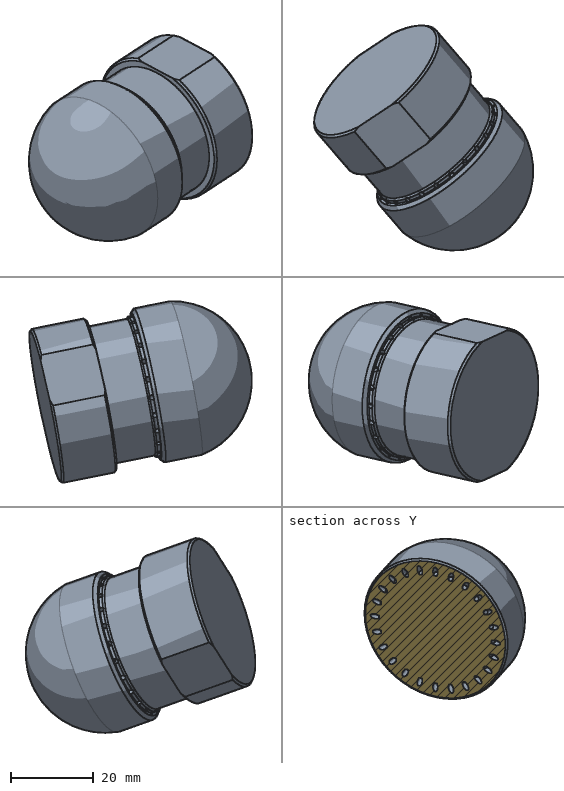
import cadquery as cq
import math

length = 50.8
body_diameter = 38.1
neck_diameter = 33.9
ring_diameter = 34.8
collar_length = 13.75
collar_chamfer = 0.5
collar_across_flats = 35.65
neck_length = 9.85
ring_width = 1.3
ring_chamfer = 0.45
head_chamfer = 0.85
dome_height = 16.0
jet_diameter = 1.15
jet_depth = 2.55
jet_tilt = 30.0
jet_offset = 0.35
jet_count = 24

body_radius = body_diameter / 2
rear_y = length / 2
collar_front_y = rear_y - collar_length
ring_rear_y = collar_front_y - neck_length
head_rear_y = ring_rear_y - ring_width
dome_tip_y = -length / 2
dome_base_y = dome_tip_y + dome_height


def cylinder(diameter, rear, front):
    """Solid cylinder on the Y axis, reaching from rear to front."""
    return cq.Workplane("XZ", origin=(0, rear, 0)).circle(diameter / 2).extrude(rear - front)


def make_collar():
    """Round collar with beveled ends and two flats facing +Z and -Z."""
    collar = cylinder(body_diameter, rear_y, collar_front_y).edges().chamfer(collar_chamfer)
    flats = cq.Workplane("XY").box(2 * body_diameter, 2 * length, collar_across_flats)
    return collar.intersect(flats)


def make_ring():
    """Thin ring behind the head, beveled at its rear edge."""
    ring = cylinder(ring_diameter, ring_rear_y, head_rear_y)
    return ring.faces(">Y").edges().chamfer(ring_chamfer)


def cut_jets(body):
    """Drill blind holes around the ring rim, leaning toward the dome as they go inward."""
    tilt = math.radians(jet_tilt)
    mouth = cq.Vector(0, head_rear_y + jet_offset, ring_diameter / 2)
    inward = cq.Vector(0, -math.sin(tilt), -math.cos(tilt))
    start = mouth - inward * jet_diameter
    jet = cq.Solid.makeCylinder(jet_diameter / 2, jet_diameter + jet_depth, start, inward)
    for index in range(jet_count):
        angle = index * 360 / jet_count
        body = body.cut(cq.Workplane(jet.rotate(cq.Vector(), cq.Vector(0, 1, 0), angle)))
    return body


def make_head():
    """Beveled cylindrical band closed by a spherical cap."""
    dome_radius = (body_radius**2 + dome_height**2) / (2 * dome_height)
    dome_center_y = dome_tip_y + dome_radius
    middle_angle = math.asin(body_radius / dome_radius) / 2
    dome_middle = (
        dome_radius * math.sin(middle_angle),
        dome_center_y - dome_radius * math.cos(middle_angle),
    )
    return (
        cq.Workplane("XY")
        .moveTo(0, head_rear_y)
        .lineTo(body_radius - head_chamfer, head_rear_y)
        .lineTo(body_radius, head_rear_y - head_chamfer)
        .lineTo(body_radius, dome_base_y)
        .threePointArc(dome_middle, (0, dome_tip_y))
        .close()
        .revolve(360, (0, 0, 0), (0, 1, 0))
    )


neck = cylinder(neck_diameter, collar_front_y, ring_rear_y)
result = cut_jets(make_collar().union(neck).union(make_ring()).union(make_head()))